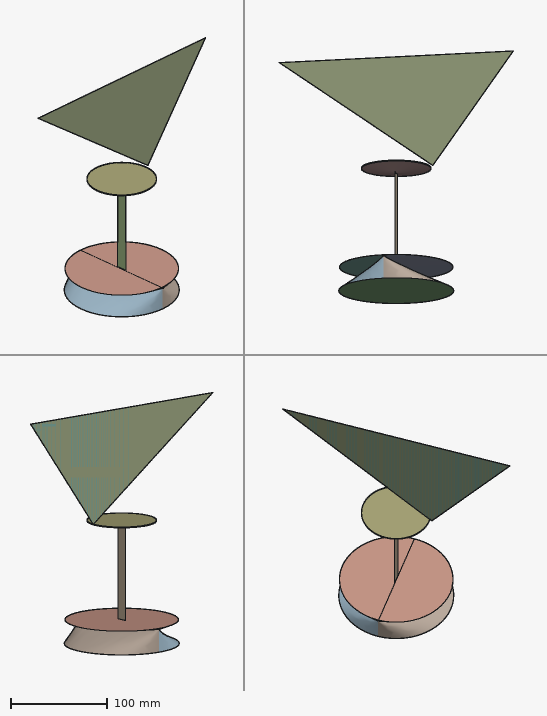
import cadquery as cq

waist_depth = 0.0002
mast_depth = 0.02
sail_depth = 0.0008

foot_diameter = 120.0
deck_diameter = 118.5
waist_height = 24.2
deck_height = 25.2

bunched_points = 6

mast_width = 12.0
dish_radius = 36.2
dish_tip_height = 125.2
dish_top_height = 131.2
dish_rim = 1.0

sail_width = 250.0
sail_top_height = 250.0
sail_tip_y = 39.0
sail_tip_height = 131.8


def waist_curve(side):
    """Control points of one nearly straight side of the waist, taken in the direction of 'side' (-1 or 1).

    They are bunched at the two ends, so the ruled surface fans out from each end of the waist.
    """
    start = side * foot_diameter / 2
    bulge = side * waist_depth / 2
    start_bunch = [(start, bulge)] * (bunched_points - 1)
    end_bunch = [(-start, bulge)] * (bunched_points - 1)
    return [(start, 0), *start_bunch, *end_bunch, (-start, 0)]


def pinched_loft(round_height, round_diameter):
    """Ruled body from a circle to the thin waist that runs along X."""
    radius = round_diameter / 2
    return (
        cq.Workplane("XY")
        .workplane(offset=round_height)
        .moveTo(-radius, 0)
        .threePointArc((0, -radius), (radius, 0))
        .threePointArc((0, radius), (-radius, 0))
        .close()
        .workplane(offset=waist_height - round_height)
        .bezier(waist_curve(-1))
        .bezier(waist_curve(1))
        .close()
        .loft(ruled=True)
    )


def make_base():
    foot = pinched_loft(0, foot_diameter)
    deck = pinched_loft(deck_height, deck_diameter)
    return foot.union(deck)


def make_mast():
    """Flat strip from the waist of the base to the underside of the dish rim."""
    rim_bottom = dish_top_height - dish_rim
    return (
        cq.Workplane("XY")
        .workplane(offset=waist_height)
        .rect(mast_width, mast_depth)
        .extrude(rim_bottom - waist_height)
    )


def make_dish():
    """Shallow cone, point down, with a short cylindrical rim."""
    profile = [
        (0, dish_tip_height),
        (dish_radius, dish_top_height - dish_rim),
        (dish_radius, dish_top_height),
        (0, dish_top_height),
    ]
    return cq.Workplane("XZ").polyline(profile).close().revolve(360, (0, 0, 0), (0, 1, 0))


def make_stand():
    return make_base().union(make_mast()).union(make_dish())


def make_sail():
    corners = [
        (-sail_width / 2, sail_top_height),
        (sail_width / 2, sail_top_height),
        (sail_tip_y, sail_tip_height),
    ]
    return cq.Workplane("YZ").polyline(corners).close().extrude(sail_depth / 2, both=True)


stand = make_stand()
sail = make_sail()

result = cq.Compound.makeCompound([stand.val(), sail.val()])